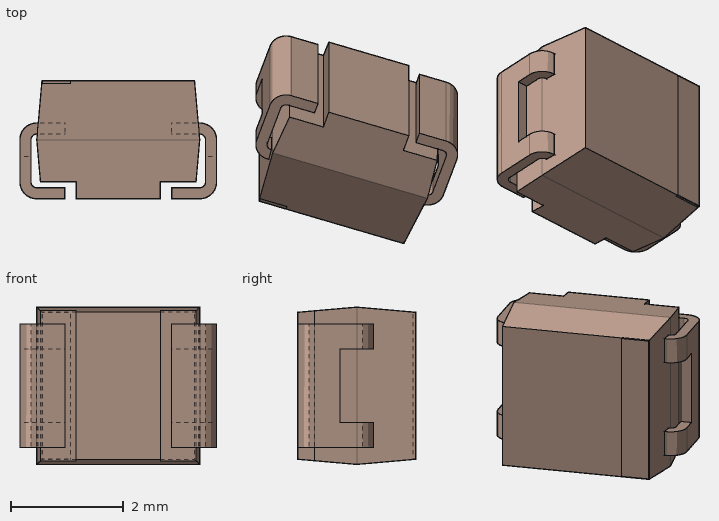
import cadquery as cq
import math


housing_length = 2.9
housing_width = 2.8
half_height = 1.05
draft_angle = 5.0
standoff_length = 1.5
step_height = 0.3

lead_span = 3.5
lead_width = 2.2
lead_thickness = 0.2
inner_bend_radius = 0.1
arm_top = 0.3
foot_gap = 1.9
window_width = 1.3
window_bottom = -0.3

mark_length = 0.5
mark_depth = 0.05
mark_margin = 0.01

seating_level = -half_height
draft_inset = half_height * math.tan(math.radians(draft_angle))
end_face_length = housing_length - 2 * draft_inset
end_face_width = housing_width - 2 * draft_inset
lead_outer_x = lead_span / 2
lead_tip_x = foot_gap / 2


def make_drafted_half(direction):
    """Half of the moulding that tapers from the parting plane towards +Y or -Y."""
    return (
        cq.Workplane("XZ")
        .rect(housing_length, housing_width)
        .workplane(offset=-direction * half_height)
        .rect(end_face_length, end_face_width)
        .loft(ruled=True)
    )


def make_step_cutter(side):
    """Block that clears the room above one foot, beside the standoff."""
    length = (housing_length - standoff_length) / 2
    center_x = side * (standoff_length + length) / 2
    center_y = seating_level + step_height / 2
    return cq.Workplane("XY").box(length, step_height, housing_width).translate((center_x, center_y, 0))


def make_lead_block(length, height, bend_radius):
    """Block across the lead width, with its two outer corners rounded."""
    return (
        cq.Workplane("XY")
        .box(length, height, lead_width, centered=(False, False, True))
        .edges("|Z and >X")
        .fillet(bend_radius)
    )


def make_lead(side):
    """C-shaped lead at the +X (side = 1) or -X (side = -1) end."""
    length = lead_outer_x - lead_tip_x
    height = arm_top - seating_level
    outer = make_lead_block(length, height, inner_bend_radius + lead_thickness)
    inner = make_lead_block(length - lead_thickness, height - 2 * lead_thickness, inner_bend_radius)
    lead = outer.cut(inner.translate((0, lead_thickness, 0)))

    window = (
        cq.Workplane("XY")
        .box(length, arm_top - window_bottom, window_width, centered=(False, False, True))
        .translate((0, window_bottom - seating_level, 0))
    )
    lead = lead.cut(window).translate((lead_tip_x, seating_level, 0))
    return lead if side > 0 else lead.mirror("YZ")


def make_polarity_mark():
    """Thin band across the top face at the -X end."""
    center_x = -end_face_length / 2 + mark_margin + mark_length / 2
    center_y = half_height - mark_depth / 2
    band = cq.Workplane("XY").box(mark_length, mark_depth, end_face_width - 2 * mark_margin)
    return band.translate((center_x, center_y, 0))


def make_housing(inserts):
    """Drafted moulding with foot steps and a matching recess for each insert."""
    body = make_drafted_half(1).union(make_drafted_half(-1))
    for side in (1, -1):
        body = body.cut(make_step_cutter(side))
    for insert in inserts:
        body = body.cut(insert)
    return body


leads = [make_lead(side) for side in (1, -1)]
polarity_mark = make_polarity_mark()
housing = make_housing([*leads, polarity_mark])

result = cq.Compound.makeCompound(
    [part.solids().val() for part in (housing, polarity_mark, *leads)]
)